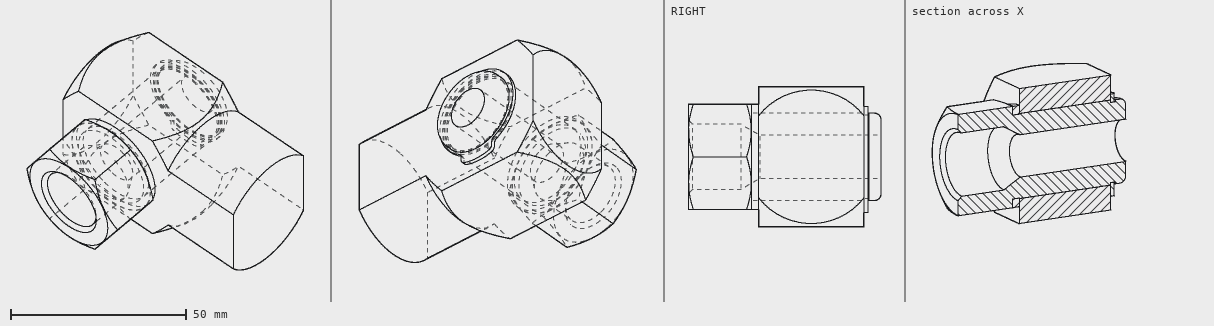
import cadquery as cq
import math


overall_length = 65.3
port_length = 25.0
port_diameter = 38.05
block_length = overall_length - port_length
block_height = 40.0
housing_thickness = 30.05
shoulder_x = block_height / 2
end_face_x = shoulder_x - block_length
front_y = -housing_thickness / 2
rear_y = housing_thickness / 2

shaft_diameter = 25.0
shaft_overhang = 4.9
shaft_end_fillet = 1.95
hex_across_flats = 30.1
hex_length = 18.0
hex_face_diameter = 29.85
hex_chamfer_angle = 30.0
groove_diameter = 23.9
groove_width = 1.4

passage_diameter = 12.4
socket_diameter = 18.6
socket_mouth_diameter = 21.0
socket_depth = 15.0
socket_cone_angle = 60.0

washer_diameter = 30.1
washer_thickness = 2.0

ring_thickness = 1.2
ring_diameter = 27.4
ring_eccentricity = 0.7
lug_reach = 15.9
lug_half_width = 5.75
lug_fillet = 1.7

hex_rear_y = front_y - washer_thickness
hex_front_y = hex_rear_y - hex_length
shaft_end_y = rear_y + shaft_overhang


def cylinder_y(diameter, start_y, end_y):
    """Cylinder on the Y axis from start_y to end_y."""
    return (
        cq.Workplane("XZ", origin=(0, start_y, 0))
        .circle(diameter / 2)
        .extrude(start_y - end_y)
    )


def revolve_about_y(points):
    """Solid of revolution about the Y axis from (radius, y) points."""
    return cq.Workplane("XY").polyline(points).close().revolve(360, (0, 0, 0), (0, 1, 0))


def corner_cones():
    """Body of revolution about X whose 45 degree ends bevel the corners of the block."""
    face_radius = port_diameter / 2
    corner_radius = math.hypot(block_height, housing_thickness) / 2
    bevel = corner_radius - face_radius
    profile = [
        (end_face_x, 0),
        (end_face_x, face_radius),
        (end_face_x + bevel, corner_radius),
        (shoulder_x - bevel, corner_radius),
        (shoulder_x, face_radius),
        (shoulder_x, 0),
    ]
    return cq.Workplane("XY").polyline(profile).close().revolve(360, (0, 0, 0), (1, 0, 0))


def make_housing():
    """Bevelled block with a flat-sided round port and a bore for the shaft."""
    block = (
        cq.Workplane("XY")
        .box(block_length, housing_thickness, block_height)
        .translate(((end_face_x + shoulder_x) / 2, 0, 0))
        .intersect(corner_cones())
    )
    port = cq.Workplane("YZ", origin=(shoulder_x, 0, 0)).circle(port_diameter / 2).extrude(port_length)
    port_flats = (
        cq.Workplane("YZ", origin=(shoulder_x, 0, 0))
        .rect(housing_thickness, port_diameter)
        .extrude(port_length)
    )
    shaft_bore = cylinder_y(shaft_diameter, front_y, rear_y)
    return block.union(port.intersect(port_flats)).cut(shaft_bore)


def make_hex_head():
    """Hexagonal head with conical chamfers at both ends."""
    corner_radius = hex_across_flats / math.sqrt(3)
    face_radius = hex_face_diameter / 2
    chamfer_length = (corner_radius - face_radius) * math.tan(math.radians(hex_chamfer_angle))
    prism = (
        cq.Workplane("XZ", origin=(0, hex_rear_y, 0))
        .polygon(6, 2 * corner_radius)
        .extrude(hex_length)
    )
    chamfer_cones = revolve_about_y([
        (0, hex_front_y),
        (face_radius, hex_front_y),
        (corner_radius, hex_front_y + chamfer_length),
        (corner_radius, hex_rear_y - chamfer_length),
        (face_radius, hex_rear_y),
        (0, hex_rear_y),
    ])
    return prism.intersect(chamfer_cones)


def make_passage():
    """Chamfered socket with a conical bottom that opens into the through passage."""
    passage_radius = passage_diameter / 2
    socket_radius = socket_diameter / 2
    mouth_radius = socket_mouth_diameter / 2
    mouth_chamfer = mouth_radius - socket_radius
    socket_bottom_y = hex_front_y + socket_depth
    cone_length = (socket_radius - passage_radius) / math.tan(math.radians(socket_cone_angle / 2))
    return revolve_about_y([
        (0, hex_front_y),
        (mouth_radius, hex_front_y),
        (socket_radius, hex_front_y + mouth_chamfer),
        (socket_radius, socket_bottom_y),
        (passage_radius, socket_bottom_y + cone_length),
        (passage_radius, shaft_end_y),
        (0, shaft_end_y),
    ])


def make_stem():
    """Hexagonal head and grooved shaft with a passage along the axis."""
    shaft = cylinder_y(shaft_diameter, hex_rear_y, shaft_end_y).faces(">Y").edges().fillet(shaft_end_fillet)
    groove_end_y = rear_y + groove_width
    groove = cylinder_y(shaft_diameter, rear_y, groove_end_y).cut(
        cylinder_y(groove_diameter, rear_y, groove_end_y)
    )
    return make_hex_head().union(shaft.cut(groove)).cut(make_passage())


def make_washer():
    """Plain washer between the hexagonal head and the housing."""
    return cylinder_y(washer_diameter, hex_rear_y, front_y).cut(
        cylinder_y(shaft_diameter, hex_rear_y, front_y)
    )


def make_lug():
    """Lug below the ring: round lower end, rounded corners and fillets where it joins the ring."""
    ring_radius = ring_diameter / 2

    corner_x = lug_half_width - lug_fillet
    corner_z = -math.sqrt((lug_reach - lug_fillet) ** 2 - corner_x ** 2)
    corner_scale = lug_reach / (lug_reach - lug_fillet)
    corner_end = (corner_x * corner_scale, corner_z * corner_scale)
    corner_angle = math.atan2(corner_z, corner_x) / 2
    corner_mid = (
        corner_x + lug_fillet * math.cos(corner_angle),
        corner_z + lug_fillet * math.sin(corner_angle),
    )

    join_x = lug_half_width + lug_fillet
    join_drop = math.sqrt((ring_radius + lug_fillet) ** 2 - join_x ** 2)
    join_z = ring_eccentricity - join_drop
    join_scale = ring_radius / (ring_radius + lug_fillet)
    join_end = (join_x * join_scale, ring_eccentricity - join_drop * join_scale)
    join_angle = (math.pi + math.atan2(join_drop, -join_x)) / 2
    join_mid = (
        join_x + lug_fillet * math.cos(join_angle),
        join_z + lug_fillet * math.sin(join_angle),
    )

    def mirrored(point):
        return (-point[0], point[1])

    return (
        cq.Workplane("XZ", origin=(0, rear_y, 0))
        .moveTo(*join_end)
        .threePointArc(join_mid, (lug_half_width, join_z))
        .lineTo(lug_half_width, corner_z)
        .threePointArc(corner_mid, corner_end)
        .threePointArc((0, -lug_reach), mirrored(corner_end))
        .threePointArc(mirrored(corner_mid), (-lug_half_width, corner_z))
        .lineTo(-lug_half_width, join_z)
        .threePointArc(mirrored(join_mid), mirrored(join_end))
        .close()
        .extrude(-ring_thickness)
    )


def make_retaining_ring():
    """Eccentric ring with a lug, seated in the groove of the shaft."""
    ring_end_y = rear_y + ring_thickness
    ring = cylinder_y(ring_diameter, rear_y, ring_end_y).translate((0, 0, ring_eccentricity))
    return ring.union(make_lug()).cut(cylinder_y(groove_diameter, rear_y, ring_end_y))


housing = make_housing()
stem = make_stem()
washer = make_washer()
retaining_ring = make_retaining_ring()

result = cq.Compound.makeCompound([
    housing.val(),
    stem.val(),
    washer.val(),
    retaining_ring.val(),
])